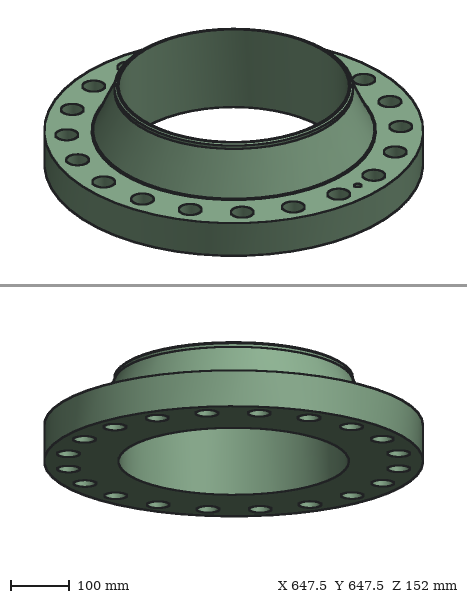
import cadquery as cq
import math

flange_diameter = 647.5
flange_thickness = 64.0
total_height = 152.0

bore_radius = 197.0
neck_radius = 204.0
neck_straight_height = 6.5
bevel_height = 3.0
bevel_width = 4.5
hub_base_radius = 240.0
base_flare_width = 2.5
base_flare_height = 1.0

bolt_count = 20
bolt_circle_radius = 285.5
bolt_hole_diameter = 39.0

drill_diameter = 12.0
drill_depth = 19.5
drill_angle = math.pi / bolt_count


def make_body():
    """Revolve the flange ring, tapered hub and bevelled neck about Z."""
    bevel_start = total_height - bevel_height
    profile = (
        cq.Workplane("XZ")
        .moveTo(bore_radius, 0)
        .lineTo(flange_diameter / 2, 0)
        .lineTo(flange_diameter / 2, flange_thickness)
        .lineTo(hub_base_radius + base_flare_width, flange_thickness)
        .lineTo(hub_base_radius, flange_thickness + base_flare_height)
        .lineTo(neck_radius, bevel_start - neck_straight_height)
        .lineTo(neck_radius, bevel_start)
        .lineTo(neck_radius - bevel_width, total_height)
        .lineTo(bore_radius, total_height)
        .close()
    )
    return profile.revolve(360, (0, 0, 0), (0, 1, 0))


def make_bolt_holes():
    """Through holes spaced evenly on the bolt circle, the first on +X."""
    return (
        cq.Workplane("XY")
        .polarArray(bolt_circle_radius, 0, 360, bolt_count)
        .circle(bolt_hole_diameter / 2)
        .extrude(flange_thickness)
    )


def make_drilled_hole():
    """Flat-bottomed blind hole on the bolt circle, sunk into the flange's upper face."""
    return (
        cq.Workplane("XY")
        .workplane(offset=flange_thickness - drill_depth)
        .center(
            bolt_circle_radius * math.cos(drill_angle),
            bolt_circle_radius * math.sin(drill_angle),
        )
        .circle(drill_diameter / 2)
        .extrude(drill_depth)
    )


result = make_body().cut(make_bolt_holes()).cut(make_drilled_hole())